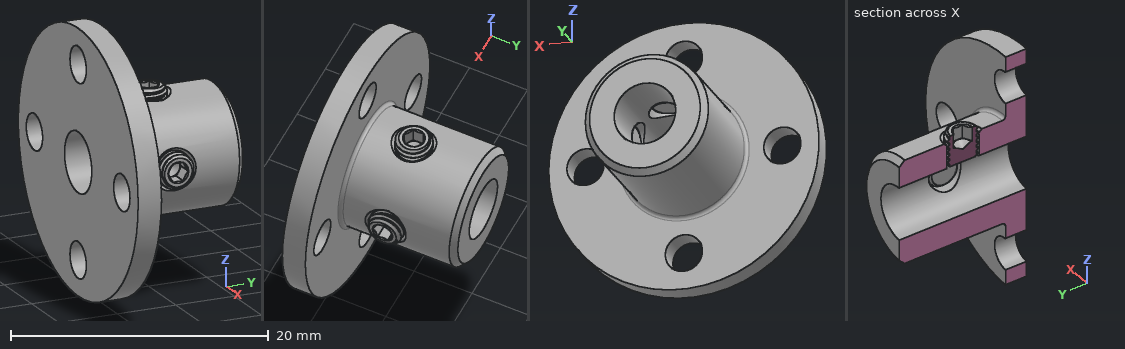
import cadquery as cq
import math

flange_diameter = 22.0
flange_thickness = 2.0
hub_diameter = 10.0
total_length = 12.0
bore_diameter = 5.0
hub_end_chamfer = 0.5
hub_base_fillet = 0.3

bolt_hole_diameter = 3.0
bolt_circle_radius = 8.0
bolt_hole_count = 4

screw_axis_y = total_length / 2
screw_angles = (0, 90)
thread_starts = (-60, 120)
screw_hole_diameter = 3.0
screw_diameter = 2.97
screw_length = 3.0
screw_outer_end = 5.55
screw_inner_end = screw_outer_end - screw_length
screw_hole_chamfer = 0.26

thread_pitch = 0.5
core_diameter = 2.53
crest_width = thread_pitch / 8
root_width = thread_pitch * 0.8
end_face_diameter = 2.35
socket_width = 1.5
socket_mouth_diameter = 1.74
socket_depth = 1.32
socket_tip_angle = 120

margin = 0.02

screw_radius = screw_diameter / 2


def turn_to_direction(body, angle):
    """Turn a body on the +X side about the hub axis, towards +Z."""
    return body.rotate((0, 0, 0), (0, 1, 0), -angle)


def cut_screw_hole(body):
    """Cut a screw hole on the +X side into the bore and chamfer its mouth."""
    screw_axis = cq.Plane(origin=(0, screw_axis_y, 0), xDir=(0, 1, 0), normal=(1, 0, 0))
    body = body.cut(cq.Workplane(screw_axis).circle(screw_hole_diameter / 2).extrude(screw_outer_end))
    mouth = cq.selectors.BoxSelector(
        (bore_diameter / 2, screw_axis_y - screw_hole_diameter, -screw_hole_diameter),
        (screw_outer_end, screw_axis_y + screw_hole_diameter, screw_hole_diameter),
    )
    return body.edges(mouth).edges("%BSPLINE or %OTHER").chamfer(screw_hole_chamfer)


def make_housing():
    front_to_back = cq.Workplane("XZ")
    flange = front_to_back.circle(flange_diameter / 2).extrude(-flange_thickness)
    hub = front_to_back.circle(hub_diameter / 2).extrude(-total_length)
    hub = hub.faces(">Y").chamfer(hub_end_chamfer)
    body = flange.union(hub)
    corner = cq.selectors.BoxSelector(
        (-hub_diameter, flange_thickness - margin, -hub_diameter),
        (hub_diameter, flange_thickness + margin, hub_diameter),
    )
    body = body.edges(corner).edges(cq.selectors.RadiusNthSelector(0)).fillet(hub_base_fillet)

    body = body.cut(front_to_back.circle(bore_diameter / 2).extrude(-total_length))
    bolt_holes = (
        front_to_back.polarArray(bolt_circle_radius, 0, 360, bolt_hole_count)
        .circle(bolt_hole_diameter / 2)
        .extrude(-flange_thickness)
    )
    body = body.cut(bolt_holes)
    for angle in screw_angles:
        body = turn_to_direction(cut_screw_hole(turn_to_direction(body, -angle)), angle)
    return body


def make_thread_ridge():
    """Helical ridge along +Z, one turn longer than the screw at each end."""
    core_radius = core_diameter / 2
    helix = cq.Wire.makeHelix(thread_pitch, screw_length + 2 * thread_pitch, core_radius)
    ridge_profile = cq.Workplane("XZ").polyline([
        (core_radius - margin, -root_width / 2),
        (screw_radius, -crest_width / 2),
        (screw_radius, crest_width / 2),
        (core_radius - margin, root_width / 2),
    ]).close()
    ridge = ridge_profile.sweep(cq.Workplane(helix), isFrenet=True)
    return ridge.translate((0, 0, -thread_pitch))


def make_socket():
    """Cutter for the hexagon socket, with a countersunk mouth and a conical bottom."""
    hexagon = cq.Workplane("XY").polygon(6, socket_width, circumscribed=True)
    hexagon = hexagon.extrude(-socket_depth).translate((0, 0, screw_length))
    tip_radius = socket_width / 2
    tip_depth = tip_radius / math.tan(math.radians(socket_tip_angle / 2))
    mouth_radius = socket_mouth_diameter / 2
    socket_floor = screw_length - socket_depth
    round_part = (
        cq.Workplane("XZ")
        .moveTo(0, screw_length)
        .lineTo(mouth_radius, screw_length)
        .lineTo(tip_radius, screw_length - (mouth_radius - tip_radius))
        .lineTo(tip_radius, socket_floor)
        .lineTo(0, socket_floor - tip_depth)
        .close()
        .revolve(360, (0, 0), (0, 1))
    )
    return hexagon.union(round_part)


def make_set_screw(thread_start):
    """Set screw on the +X side: threaded rod with chamfered ends and a socket."""
    rod_excess = 2 * thread_pitch
    rod = cq.Workplane("XY").circle(core_diameter / 2).extrude(screw_length + 2 * rod_excess)
    rod = rod.translate((0, 0, -rod_excess))
    envelope_radius = screw_radius + margin
    end_chamfer = envelope_radius - end_face_diameter / 2
    envelope = cq.Workplane("XY").circle(envelope_radius).extrude(screw_length)
    envelope = envelope.faces("<Z or >Z").chamfer(end_chamfer)
    ridge = make_thread_ridge().rotate((0, 0, 0), (0, 0, 1), thread_start)
    screw = rod.union(ridge).intersect(envelope)

    screw = screw.cut(make_socket())
    return screw.rotate((0, 0, 0), (0, 1, 0), 90).translate((screw_inner_end, screw_axis_y, 0))


housing = make_housing()
set_screws = [
    turn_to_direction(make_set_screw(thread_start), angle)
    for angle, thread_start in zip(screw_angles, thread_starts)
]
result = cq.Compound.makeCompound([housing.val(), *[screw.val() for screw in set_screws]])